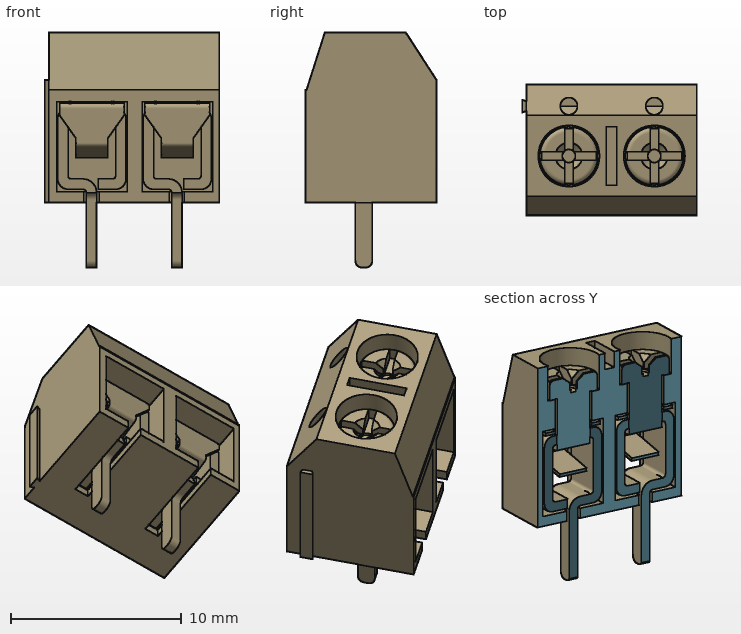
import cadquery as cq
import math


POLE_PITCH = 5.0
POLE_COUNT = 2
SCREW_Y = 3.49

HOUSING_WIDTH = 10.0
HOUSING_DEPTH = 7.68
HOUSING_HEIGHT = 9.98
FRONT_KNEE_Z = 6.6
FRONT_LEDGE = 0.05
TOP_FRONT_Y = 1.13
BACK_KNEE_Z = 7.2
BACK_SLOPE_RUN = 1.8
POLE_XS = [HOUSING_WIDTH / 2 + (i - (POLE_COUNT - 1) / 2) * POLE_PITCH for i in range(POLE_COUNT)]

RAIL_HEIGHT = 0.25
RAIL_OUTER_WIDTH = 0.76
RAIL_BASE_WIDTH = 0.58
RAIL_Y = 6.41
RAIL_TOP_Z = 7.2

TEST_HOLE_DIAMETER = 1.0
TEST_HOLE_FLOOR_Z = 7.2
TEST_HOLE_SLOPE = 50.0

GROOVE_WIDTH = 0.6
GROOVE_LENGTH = 3.45
GROOVE_DEPTH = 0.99

STRIP_THICKNESS = 0.6
INNER_BEND = 0.19
OUTER_BEND = INNER_BEND + STRIP_THICKNESS
CAGE_WIDTH = 4.0
CAGE_FILLET = 0.6
CAGE_BOTTOM_Z = 0.79
CAGE_TOP_Z = 5.53
CAGE_FRONT_Y = 1.43
CAGE_SHIFT = 0.03
STRIP_END_X = 0.4
PIN_WIDTH = 1.0
PIN_Y = 3.42
PIN_LENGTH = 3.8
PIN_TIP_FILLET = 0.4
PIN_ROOT_Z = 0.59
PIN_ROOT_FILLET = 0.41
CAGE_DEPTH = 2 * (PIN_Y - CAGE_FRONT_Y)
CAGE_BACK_Y = CAGE_FRONT_Y + CAGE_DEPTH

POCKET_WIDTH = 4.14
POCKET_FLOOR_Z = 0.65
POCKET_TOP_Z = 5.93
POCKET_CLEARANCE = 0.07
POCKET_BACK_Y = CAGE_BACK_Y + POCKET_CLEARANCE
FLOOR_SLOT_WIDTH = 0.9

GUARD_THICKNESS = 0.2
TOP_BEND = 0.29
GUARD_FRONT_Y = CAGE_FRONT_Y - GUARD_THICKNESS
GUARD_TOP_Z = CAGE_TOP_Z + TOP_BEND
GUARD_WIDTH = 3.79
GUARD_TIP_WIDTH = 1.88
TAPER_TOP_Z = 5.13
TAPER_BOTTOM_Z = 3.78
TONGUE_BEND_Z = 3.49
TONGUE_BOTTOM_Z = 2.62
TONGUE_ANGLE = 80.0

HEAD_DIAMETER = 3.4
HEAD_HEIGHT = 1.2
HEAD_FILLET = 0.3
HEAD_RECESS = 0.98
HEAD_HOLE_DIAMETER = 3.6
SHANK_DIAMETER = 2.4
SHANK_HOLE_DIAMETER = 2.6
SHANK_BOTTOM_Z = 4.55
CROSS_LENGTH = 3.19
CROSS_WIDTH = 0.5
CROSS_DEPTH = 0.83
CENTRE_DIAMETER = 0.77
CENTRE_DEPTH = 0.99
CONE_DIAMETER = 1.57
CONE_DEPTH = (CONE_DIAMETER - CENTRE_DIAMETER) / 2
HEAD_TOP_Z = HOUSING_HEIGHT - HEAD_RECESS
HEAD_BOTTOM_Z = HEAD_TOP_Z - HEAD_HEIGHT


def box(x0, x1, y0, y1, z0, z1):
    return cq.Workplane("XY").box(x1 - x0, y1 - y0, z1 - z0, centered=False).translate((x0, y0, z0))


def upright_cylinder(diameter, x, y, z0, z1):
    return cq.Workplane("XY", origin=(x, y, z0)).circle(diameter / 2).extrude(z1 - z0)


def make_rail():
    outer = RAIL_OUTER_WIDTH / 2
    base = RAIL_BASE_WIDTH / 2
    outline = [
        (-RAIL_HEIGHT, RAIL_Y - outer),
        (0, RAIL_Y - base),
        (0, RAIL_Y + base),
        (-RAIL_HEIGHT, RAIL_Y + outer),
    ]
    return cq.Workplane("XY").polyline(outline).close().extrude(RAIL_TOP_Z)


def make_test_hole(x):
    radius = TEST_HOLE_DIAMETER / 2
    slope_rise = radius * math.tan(math.radians(TEST_HOLE_SLOPE))
    bore = upright_cylinder(TEST_HOLE_DIAMETER, x, RAIL_Y, TEST_HOLE_FLOOR_Z, HOUSING_HEIGHT)
    above_floor = (
        cq.Workplane("YZ", origin=(x - radius, 0, 0))
        .polyline([
            (RAIL_Y - radius, TEST_HOLE_FLOOR_Z + slope_rise),
            (RAIL_Y, TEST_HOLE_FLOOR_Z),
            (RAIL_Y + radius, TEST_HOLE_FLOOR_Z),
            (RAIL_Y + radius, HOUSING_HEIGHT),
            (RAIL_Y - radius, HOUSING_HEIGHT),
        ])
        .close()
        .extrude(TEST_HOLE_DIAMETER)
    )
    return bore.intersect(above_floor)


def make_pole_cavity(x):
    """Everything removed from the housing for one pole."""
    pocket_x = x + CAGE_SHIFT
    half_pocket = POCKET_WIDTH / 2
    half_slot = FLOOR_SLOT_WIDTH / 2
    pocket = box(
        pocket_x - half_pocket, pocket_x + half_pocket,
        0, POCKET_BACK_Y,
        POCKET_FLOOR_Z, POCKET_TOP_Z,
    )
    floor_slot = box(x - half_slot, x + half_slot, 0, CAGE_BACK_Y, 0, POCKET_FLOOR_Z)
    head_hole = upright_cylinder(HEAD_HOLE_DIAMETER, x, SCREW_Y, HEAD_BOTTOM_Z, HOUSING_HEIGHT)
    shank_hole = upright_cylinder(SHANK_HOLE_DIAMETER, x, SCREW_Y, POCKET_TOP_Z, HEAD_BOTTOM_Z)
    return pocket.union(floor_slot).union(shank_hole).union(head_hole).union(make_test_hole(x))


def make_groove():
    middle = HOUSING_WIDTH / 2
    return box(
        middle - GROOVE_WIDTH / 2, middle + GROOVE_WIDTH / 2,
        SCREW_Y - GROOVE_LENGTH / 2, SCREW_Y + GROOVE_LENGTH / 2,
        HOUSING_HEIGHT - GROOVE_DEPTH, HOUSING_HEIGHT,
    )


def make_housing():
    side_outline = [
        (0, 0),
        (HOUSING_DEPTH, 0),
        (HOUSING_DEPTH, BACK_KNEE_Z),
        (HOUSING_DEPTH - BACK_SLOPE_RUN, HOUSING_HEIGHT),
        (TOP_FRONT_Y, HOUSING_HEIGHT),
        (FRONT_LEDGE, FRONT_KNEE_Z),
        (0, FRONT_KNEE_Z),
    ]
    housing = cq.Workplane("YZ").polyline(side_outline).close().extrude(HOUSING_WIDTH)
    housing = housing.union(make_rail()).cut(make_groove())
    for x in POLE_XS:
        housing = housing.cut(make_pole_cavity(x))
    return housing


def make_pin_outline():
    """Side outline of the foot: full cage depth at the top, narrowing to the solder pin."""
    pin_front = PIN_Y - PIN_WIDTH / 2
    pin_back = PIN_Y + PIN_WIDTH / 2
    root_bottom = PIN_ROOT_Z - PIN_ROOT_FILLET
    tip = -PIN_LENGTH
    foot = (
        cq.Workplane("YZ")
        .moveTo(CAGE_FRONT_Y, CAGE_TOP_Z)
        .lineTo(CAGE_FRONT_Y, PIN_ROOT_Z)
        .lineTo(pin_front - PIN_ROOT_FILLET, PIN_ROOT_Z)
        .radiusArc((pin_front, root_bottom), PIN_ROOT_FILLET)
        .lineTo(pin_front, tip + PIN_TIP_FILLET)
        .radiusArc((pin_front + PIN_TIP_FILLET, tip), -PIN_TIP_FILLET)
        .lineTo(pin_back - PIN_TIP_FILLET, tip)
        .radiusArc((pin_back, tip + PIN_TIP_FILLET), -PIN_TIP_FILLET)
        .lineTo(pin_back, root_bottom)
        .radiusArc((pin_back + PIN_ROOT_FILLET, PIN_ROOT_Z), PIN_ROOT_FILLET)
        .lineTo(CAGE_BACK_Y, PIN_ROOT_Z)
        .lineTo(CAGE_BACK_Y, CAGE_TOP_Z)
        .close()
    )
    return foot.extrude(CAGE_WIDTH / 2, both=True)


def make_foot():
    """The strip turning down from the cage bottom into the pin, centred on the pole."""
    half = STRIP_THICKNESS / 2
    strip_top = CAGE_BOTTOM_Z + STRIP_THICKNESS
    bend_z = CAGE_BOTTOM_Z - INNER_BEND
    bend_x = -half - INNER_BEND
    front_outline = (
        cq.Workplane("XZ", origin=(0, CAGE_BACK_Y, 0))
        .moveTo(bend_x, strip_top)
        .radiusArc((half, bend_z), OUTER_BEND)
        .lineTo(half, -PIN_LENGTH)
        .lineTo(-half, -PIN_LENGTH)
        .lineTo(-half, bend_z)
        .radiusArc((bend_x, CAGE_BOTTOM_Z), -INNER_BEND)
        .close()
    )
    return front_outline.extrude(CAGE_DEPTH).intersect(make_pin_outline())


def make_cage(x):
    half = CAGE_WIDTH / 2
    inner_half = half - STRIP_THICKNESS
    strip_top = CAGE_BOTTOM_Z + STRIP_THICKNESS
    outer = box(-half, half, CAGE_FRONT_Y, CAGE_BACK_Y, CAGE_BOTTOM_Z, CAGE_TOP_Z)
    opening = box(
        -inner_half, inner_half, CAGE_FRONT_Y, CAGE_BACK_Y, strip_top, CAGE_TOP_Z - STRIP_THICKNESS
    )
    ring = outer.edges("|Y").fillet(CAGE_FILLET).cut(opening.edges("|Y").fillet(INNER_BEND))
    ring = ring.translate((CAGE_SHIFT, 0, 0))
    bend_start = -STRIP_THICKNESS / 2 - INNER_BEND
    gap = box(bend_start, STRIP_END_X, CAGE_FRONT_Y, CAGE_BACK_Y, CAGE_BOTTOM_Z, strip_top)
    screw_thread = upright_cylinder(SHANK_DIAMETER, 0, SCREW_Y, strip_top, CAGE_TOP_Z)
    return ring.cut(gap).union(make_foot()).cut(screw_thread).translate((x, 0, 0))


def make_guard_leaf():
    """Bent leaf at full width: top leg, front leg and the tongue slanting back under the wire."""
    angle = math.radians(TONGUE_ANGLE)
    inner_bend = TOP_BEND - GUARD_THICKNESS
    top_bend_y = GUARD_FRONT_Y + TOP_BEND
    leg_bottom_z = GUARD_TOP_Z - GUARD_THICKNESS
    tongue_start = (
        CAGE_FRONT_Y - GUARD_THICKNESS * math.cos(angle),
        TONGUE_BEND_Z - GUARD_THICKNESS * math.sin(angle),
    )
    tongue_drop = tongue_start[1] - TONGUE_BOTTOM_Z
    tongue_run = tongue_drop * math.tan(angle)
    leaf = (
        cq.Workplane("YZ")
        .moveTo(CAGE_BACK_Y, GUARD_TOP_Z)
        .lineTo(top_bend_y, GUARD_TOP_Z)
        .radiusArc((GUARD_FRONT_Y, CAGE_TOP_Z), -TOP_BEND)
        .lineTo(GUARD_FRONT_Y, TONGUE_BEND_Z)
        .radiusArc(tongue_start, -GUARD_THICKNESS)
        .lineTo(tongue_start[0] + tongue_run, TONGUE_BOTTOM_Z)
        .lineTo(CAGE_FRONT_Y + tongue_run, TONGUE_BEND_Z - tongue_drop)
        .lineTo(CAGE_FRONT_Y, TONGUE_BEND_Z)
        .lineTo(CAGE_FRONT_Y, CAGE_TOP_Z)
        .radiusArc((top_bend_y, leg_bottom_z), inner_bend)
        .lineTo(CAGE_BACK_Y, leg_bottom_z)
        .close()
    )
    return leaf.extrude(GUARD_WIDTH / 2, both=True)


def make_guard(x):
    half = GUARD_WIDTH / 2
    half_tip = GUARD_TIP_WIDTH / 2
    front_outline = [
        (-half, GUARD_TOP_Z),
        (-half, TAPER_TOP_Z),
        (-half_tip, TAPER_BOTTOM_Z),
        (-half_tip, 0),
        (half_tip, 0),
        (half_tip, TAPER_BOTTOM_Z),
        (half, TAPER_TOP_Z),
        (half, GUARD_TOP_Z),
    ]
    front = cq.Workplane("XZ").polyline(front_outline).close().extrude(-HOUSING_DEPTH)
    guard = make_guard_leaf().intersect(front).translate((x + CAGE_SHIFT, 0, 0))
    return guard.cut(upright_cylinder(SHANK_HOLE_DIAMETER, x, SCREW_Y, CAGE_TOP_Z, GUARD_TOP_Z))


def make_screw(x):
    head = upright_cylinder(HEAD_DIAMETER, x, SCREW_Y, HEAD_BOTTOM_Z, HEAD_TOP_Z)
    head = head.faces(">Z").edges().fillet(HEAD_FILLET)
    shank = upright_cylinder(SHANK_DIAMETER, x, SCREW_Y, SHANK_BOTTOM_Z, HEAD_BOTTOM_Z)
    head_top = cq.Workplane("XY", origin=(x, SCREW_Y, HEAD_TOP_Z))
    cross = head_top.rect(CROSS_LENGTH, CROSS_WIDTH).extrude(-CROSS_DEPTH)
    cross = cross.union(head_top.rect(CROSS_WIDTH, CROSS_LENGTH).extrude(-CROSS_DEPTH))
    centre_hole = head_top.circle(CENTRE_DIAMETER / 2).extrude(-CENTRE_DEPTH)
    cone = cq.Workplane(cq.Solid.makeCone(
        CONE_DIAMETER / 2, CENTRE_DIAMETER / 2, CONE_DEPTH,
        pnt=cq.Vector(x, SCREW_Y, HEAD_TOP_Z), dir=cq.Vector(0, 0, -1),
    ))
    return head.union(shank).cut(cross).cut(centre_hole).cut(cone)


housing = make_housing()
cages = [make_cage(x) for x in POLE_XS]
guards = [make_guard(x) for x in POLE_XS]
screws = [make_screw(x) for x in POLE_XS]

result = cq.Compound.makeCompound([body.val() for body in [housing, *cages, *guards, *screws]])